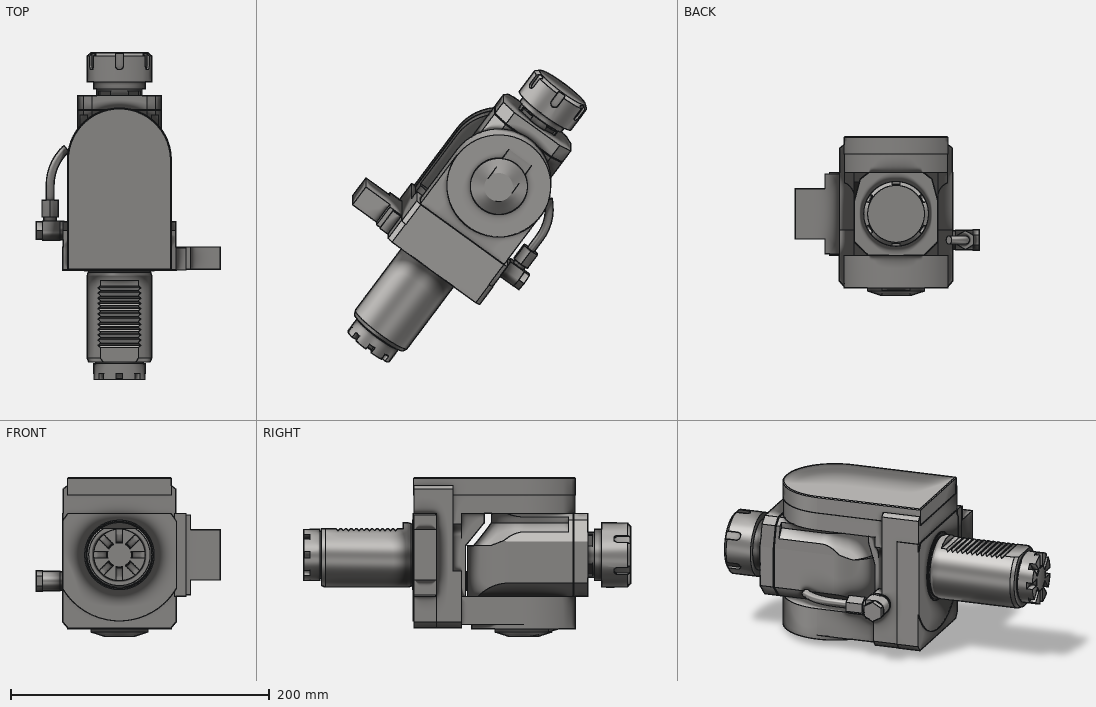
import cadquery as cq
import math


flange_half_width = 44.0
flange_top = 54.0
flange_bottom = -56.5
flange_corner = (3.8, 3.0)
flange_bottom_corner = (3.8, 4.5)
flange_back = 31.0
flange_relief = 0.38
front_block_back = 18.2
foot_back = 37.7
foot_top = -12.5
pad_radius = 51.1
pad_height = 0.8

arm_radius = 40.3
arm_end = 125.8
pivot_y = arm_end - arm_radius
jaw_half_height = 32.2
cap_bottom = 46.3
cap_top = 59.7
cap_front = 0.3
cap_overhang = 0.3
cap_chamfer = 0.8
lower_arm_bottom = -54.0
pivot_disc_bottom = -57.2
cover_diameter = 44.3
cover_rim_bottom = -59.7
cover_bottom = -63.3
cover_flat_diameter = 22.3
ramp_start = 113.5
ramp_end = 91.6
ramp_half_width = 11.0

slope_bottom = 7.0
slope_top = 24.8

web_low_y = 40.8
web_high_y = 46.0
web_far_y = 55.2
gusset_fillet_z = 13.2
gusset_fillet_radius = 11.6

head_half_width = 32.5
head_front = 135.5
head_round_y = 74.5
head_facet_top_x = 21.3
head_facet_bend = (27.8, 27.0)
head_facet_foot_z = 10.0
head_bottom_chamfer_x = 21.8
head_bottom_chamfer_z = -21.8
taper_base_radius = 38.7
taper_top_radius = 24.8
taper_front = 120.5
head_joint_y = 123.8
head_joint_width = 0.8
head_joint_depth = 0.38

shank_diameter = 50.0
shank_neck_diameter = 48.0
shank_neck_length = 1.5
ring_diameter = 52.0
ring_height = 0.5
outer_ring_diameter = 54.0
outer_ring_height = 0.3
shank_end = -71.0
shank_chamfer = 1.3
shank_chamfer_length = 3.0
shank_lead_diameter = 48.5
shank_lead_end = -4.0
rack_flat_z = 20.3
rack_start = -7.5
tooth_count = 12
tooth_pitch = 4.0
first_tooth_y = -13.5
tooth_depth = 1.5
tooth_gap_width = 3.0

rear_nut_diameter = 40.0
rear_nut_end = -84.5
rear_nut_start = -72.2
rear_core_diameter = 20.3
rear_core_chamfer = 0.8
rear_gap_diameter = 37.0
rear_slot_width = 5.0
rear_slot_depth = 4.8
rear_slot_count = 8
nut_diameter = 50.0
nut_end_diameter = 44.0
nut_back = 146.0
nut_rim = 166.0
nut_end = 168.5
nut_slot_count = 6
nut_slot_width = 6.3
nut_slot_depth = 2.3
nut_slot_end = 155.5
collar_diameter = 40.0
collar_back = 140.5
neck_diameter = 35.2
neck_notch_count = 4
neck_notch_width = 13.2
neck_notch_length = 3.5
neck_notch_radius = 14.5
first_notch_angle = 45

fitting_y = 31.0
fitting_z = -20.3
fitting_diameter = 15.2
fitting_collar_diameter = 14.5
fitting_collar_start = -46.0
fitting_hex_corners = 16.0
fitting_end = -64.5
fitting_hex_length = 5.0
hex_turn = 30
tube_x = -53.7
tube_diameter = 6.3
tube_collar_diameter = 9.9
tube_nut_flats = 12.7
tube_nut_start = 41.3
tube_nut_end = 54.5
tube_bend_start = 65.8
tube_bend_radius = 38.5
tube_bend_angle = 48

locator_depth = 18.2
locator_plate_depth = 17.5
locator_plate_front = 0.3
locator_plate_end = 51.6
locator_step_end = 55.2
locator_end = 78.2
locator_plate_half_height = 32.2
locator_step_half_height = 31.0
locator_half_height = 19.5

overlap = 1.3


def box(x0, x1, y0, y1, z0, z1):
    return cq.Workplane("XY").box(x1 - x0, y1 - y0, z1 - z0, centered=False).translate((x0, y0, z0))


def rod_y(diameter, y0, y1, x=0, z=0):
    """Round bar along Y."""
    disc = cq.Workplane("XZ", origin=(x, y0, z)).circle(diameter / 2)
    return disc.extrude(y0 - y1)


def prism_y(points, y0, y1):
    """Closed X-Z outline run along Y."""
    return cq.Workplane("XZ", origin=(0, y0, 0)).polyline(points).close().extrude(y0 - y1)


def prism_x(points, x0, x1):
    """Closed Y-Z outline run along X."""
    return cq.Workplane("YZ", origin=(x0, 0, 0)).polyline(points).close().extrude(x1 - x0)


def mirrored(points):
    """Mirror image of X-Z points across X = 0, in reverse order."""
    return [(-x, z) for x, z in reversed(points)]


def round_ended_slab(radius, centre_y, back_y, z0, z1):
    """Slab with a flat end at back_y and a half-round end beyond centre_y."""
    tip_y = centre_y + math.copysign(radius, centre_y - back_y)
    outline = (
        cq.Workplane("XY", origin=(0, 0, z0))
        .moveTo(-radius, back_y)
        .lineTo(-radius, centre_y)
        .threePointArc((0, tip_y), (radius, centre_y))
        .lineTo(radius, back_y)
        .close()
    )
    return outline.extrude(z1 - z0)


def revolve_z(profile, centre_y):
    """Closed radius-Z outline turned about the vertical axis through (0, centre_y)."""
    turned = cq.Workplane("XZ").polyline(profile).close().revolve(360, (0, 0, 0), (0, 1, 0))
    return turned.translate((0, centre_y, 0))


def flange_outline(w):
    dx, dz = flange_corner
    bx, bz = flange_bottom_corner
    right_outline = [
        (w - bx, flange_bottom), (w, flange_bottom + bz), (w, flange_top - dz), (w - dx, flange_top),
    ]
    return right_outline + mirrored(right_outline)


def make_flange():
    """Flange with a slightly wider front block, a raised round pad and a deeper foot."""
    w = flange_half_width
    relieved = flange_outline(w - flange_relief)
    flange = prism_y(relieved, pad_height, flange_back)
    foot = prism_y(relieved, pad_height, foot_back)
    foot = foot.intersect(box(-w, w, 0, foot_back, flange_bottom, foot_top))
    front_block = prism_y(flange_outline(w), pad_height, front_block_back)
    front_block = front_block.intersect(box(-w, w, 0, foot_back, flange_bottom, jaw_half_height))
    pad = rod_y(2 * pad_radius, 0, front_block_back)
    pad = pad.intersect(box(-w, w, 0, front_block_back, -pad_radius, jaw_half_height))
    cap_seat = box(-arm_radius, arm_radius, 0, flange_back, cap_bottom, cap_top)
    return flange.cut(cap_seat).union(foot).union(front_block).union(pad)


def make_fork():
    """Upper arm with its cap, and lower arm with the round pivot disc."""
    cap = round_ended_slab(arm_radius, pivot_y, cap_front, cap_bottom, cap_top)
    cap = cap.faces(">Z").edges().chamfer(cap_chamfer)
    inner_radius = arm_radius - cap_overhang
    upper_arm = round_ended_slab(inner_radius, pivot_y, front_block_back, jaw_half_height, cap_bottom)
    lower_arm = box(-arm_radius, arm_radius, flange_back, pivot_y, lower_arm_bottom, -jaw_half_height)
    disc = cq.Workplane("XY", origin=(0, pivot_y, pivot_disc_bottom)).circle(arm_radius)
    disc = disc.extrude(-jaw_half_height - pivot_disc_bottom)
    return cap.union(upper_arm).union(lower_arm.union(disc))


def make_cover():
    """Domed cover under the lower arm, with a ramp running out of its front."""
    r = cover_diameter / 2
    flat = cover_flat_diameter / 2
    root_z = pivot_disc_bottom + overlap
    profile = [(0, root_z), (r, root_z), (r, cover_rim_bottom), (flat, cover_bottom), (0, cover_bottom)]
    cover = revolve_z(profile, pivot_y)
    ramp_outline = [
        (ramp_start, root_z), (ramp_start, pivot_disc_bottom), (ramp_end, cover_bottom),
        (pivot_y, cover_bottom), (pivot_y, root_z),
    ]
    return cover.union(prism_x(ramp_outline, -ramp_half_width, ramp_half_width))


def web_outline(high_y):
    h = jaw_half_height
    back = flange_back - overlap
    return [
        (back, -h), (web_low_y, -h), (web_low_y, slope_bottom),
        (high_y, slope_top), (high_y, h), (back, h),
    ]


def make_web():
    """Web behind the head; its upper part leans forward towards +X."""
    w = head_half_width
    web = prism_x(web_outline(web_high_y), -w, overlap)
    leaning = (
        cq.Workplane("YZ")
        .polyline(web_outline(web_high_y))
        .close()
        .workplane(offset=w)
        .polyline(web_outline(web_far_y))
        .close()
        .loft(ruled=True)
    )
    return web.union(leaning)


def make_gussets():
    """Filleted gussets joining the upper arm to the sides of the web."""
    inner = head_half_width - overlap
    outer = arm_radius - cap_overhang
    gusset = box(inner, outer, flange_back - overlap, foot_back, gusset_fillet_z, cap_bottom)
    centre_x = head_half_width + gusset_fillet_radius
    gusset = gusset.cut(rod_y(2 * gusset_fillet_radius, 0, foot_back, centre_x, gusset_fillet_z))
    return gusset.union(gusset.mirror("YZ"))


def make_head():
    """Spindle head: faceted prism with a round rear and a tapered upper part."""
    w = head_half_width
    h = jaw_half_height
    right_outline = [
        (head_facet_top_x, h), head_facet_bend, (w, head_facet_foot_z),
        (w, head_bottom_chamfer_z), (head_bottom_chamfer_x, -h),
    ]
    outline = right_outline + mirrored(right_outline)
    rear = head_round_y - w
    head = prism_y(outline, rear, head_front)
    head = head.intersect(round_ended_slab(w, head_round_y, head_front, -h, h))

    base, top = taper_base_radius, taper_top_radius
    half_taper = [(base, -h), (base, slope_bottom), (top, slope_top), (top, h)]
    full_taper = half_taper + mirrored(half_taper)
    envelope = revolve_z([(0, -h)] + half_taper + [(0, h)], pivot_y)
    envelope = envelope.union(prism_y(full_taper, pivot_y, taper_front))
    envelope = envelope.union(box(-base, base, rear, pivot_y, -h, slope_bottom))
    envelope = envelope.union(box(-base, base, taper_front, head_front, -h, h))
    head = head.intersect(envelope)

    joint_end = head_joint_y + head_joint_width
    core = cq.Workplane("XZ", origin=(0, head_joint_y, 0)).polyline(outline).close()
    core = core.offset2D(-head_joint_depth, "intersection").extrude(-head_joint_width)
    joint = box(-base, base, head_joint_y, joint_end, -h - overlap, h + overlap).cut(core)
    return head.cut(joint)


def make_shank():
    """Round shank with a toothed flat on top and seating rings at the flange."""
    r = shank_diameter / 2
    tip_r = r - shank_chamfer
    profile = [
        (0, -shank_neck_length), (shank_lead_diameter / 2, -shank_neck_length), (r, shank_lead_end),
        (r, shank_end + shank_chamfer_length), (tip_r, shank_end), (0, shank_end),
    ]
    shank = cq.Workplane("XY").polyline(profile).close().revolve(360, (0, 0, 0), (0, 1, 0))
    shank = shank.cut(box(-r, r, shank_end, rack_start, rack_flat_z, r + overlap))
    root = rack_flat_z - tooth_depth
    half = tooth_gap_width / 2
    for i in range(tooth_count):
        y = first_tooth_y - i * tooth_pitch
        gap = [
            (y - half, rack_flat_z + overlap), (y - half, rack_flat_z), (y, root),
            (y + half, rack_flat_z), (y + half, rack_flat_z + overlap),
        ]
        shank = shank.cut(prism_x(gap, -r, r))
    neck = rod_y(shank_neck_diameter, -shank_neck_length - overlap, overlap)
    ring = rod_y(ring_diameter, -ring_height, overlap)
    outer_ring = rod_y(outer_ring_diameter, -outer_ring_height, overlap)
    return shank.union(neck).union(ring).union(outer_ring)


def make_rear_nut():
    """Slotted nut at the shank tip with a round core."""
    r = rear_nut_diameter / 2
    nut = rod_y(rear_nut_diameter, rear_nut_end, rear_nut_start)
    half = rear_slot_width / 2
    for i in range(rear_slot_count):
        slot = box(0, r + overlap, rear_nut_end, rear_nut_end + rear_slot_depth, -half, half)
        nut = nut.cut(slot.rotate((0, 0, 0), (0, 1, 0), i * 360 / rear_slot_count))
    core = rod_y(rear_core_diameter, rear_nut_end, rear_nut_start)
    core = core.faces("<Y").chamfer(rear_core_chamfer)
    gap = rod_y(rear_gap_diameter, rear_nut_start - overlap, shank_end + overlap)
    return nut.union(core).union(gap)


def make_collet_nut():
    """Clamping nut, collar and notched neck in front of the head."""
    r = nut_diameter / 2
    profile = [
        (0, nut_back), (r, nut_back), (r, nut_rim),
        (nut_end_diameter / 2, nut_end), (0, nut_end),
    ]
    nut = cq.Workplane("XY").polyline(profile).close().revolve(360, (0, 0, 0), (0, 1, 0))
    floor = r - nut_slot_depth
    end_y = nut_slot_end + nut_slot_width / 2
    for i in range(nut_slot_count):
        slot = box(-nut_slot_width / 2, nut_slot_width / 2, end_y, nut_end + overlap, floor, r + overlap)
        rounding = cq.Workplane("XY", origin=(0, end_y, floor)).circle(nut_slot_width / 2)
        slot = slot.union(rounding.extrude(nut_slot_depth + overlap))
        nut = nut.cut(slot.rotate((0, 0, 0), (0, 1, 0), i * 360 / nut_slot_count))
    collar = rod_y(collar_diameter, collar_back, nut_back + overlap)
    neck = rod_y(neck_diameter, head_front - overlap, collar_back + overlap)
    half = neck_notch_width / 2
    notch_end = head_front + neck_notch_length
    for i in range(neck_notch_count):
        notch = box(neck_notch_radius, neck_diameter, head_front, notch_end, -half, half)
        angle = first_notch_angle + i * 360 / neck_notch_count
        neck = neck.cut(notch.rotate((0, 0, 0), (0, 1, 0), angle))
    return neck.union(collar).union(nut)


def make_coolant_line():
    """Side fitting with a tube nut and a bent tube."""
    body_start = fitting_end + fitting_hex_length
    body_length = fitting_collar_start - body_start
    r = fitting_diameter / 2
    hexagon = cq.Workplane("YZ", origin=(fitting_end, fitting_y, fitting_z))
    hexagon = hexagon.transformed(rotate=(0, 0, hex_turn)).polygon(6, fitting_hex_corners)
    hexagon = hexagon.extrude(fitting_hex_length)
    body = cq.Workplane("YZ", origin=(body_start, fitting_y, fitting_z)).circle(r).extrude(body_length)
    tube_face = box(
        body_start, fitting_collar_start, fitting_y, fitting_y + r, fitting_z - r, fitting_z + r
    )
    mount = cq.Workplane("YZ", origin=(body_start, fitting_y, fitting_z))
    mount = mount.circle(fitting_collar_diameter / 2).extrude(-flange_half_width + overlap - body_start)
    fitting = hexagon.union(mount).union(body).union(tube_face)
    collar = rod_y(tube_collar_diameter, fitting_y, tube_nut_start + overlap, tube_x, fitting_z)
    corners = tube_nut_flats / math.cos(math.pi / 6)
    nut = cq.Workplane("XZ", origin=(tube_x, tube_nut_start, fitting_z)).polygon(6, corners)
    nut = nut.extrude(tube_nut_start - tube_nut_end)
    nut = nut.rotate((tube_x, 0, fitting_z), (tube_x, 1, fitting_z), hex_turn)
    straight = rod_y(tube_diameter, tube_nut_end - overlap, tube_bend_start, tube_x, fitting_z)
    bend = cq.Workplane("XZ", origin=(tube_x, tube_bend_start, fitting_z)).circle(tube_diameter / 2)
    bend = bend.revolve(tube_bend_angle, (tube_bend_radius, 0, 0), (tube_bend_radius, -1, 0))
    return fitting.union(collar).union(nut).union(straight).union(bend)


def make_locator():
    """Stepped locating block on the +X side of the flange."""
    steps = (
        (locator_plate_end, locator_plate_front, locator_plate_depth, locator_plate_half_height),
        (locator_step_end, pad_height, locator_depth, locator_step_half_height),
        (locator_end, pad_height, locator_depth, locator_half_height),
    )
    inner = flange_half_width - overlap
    locator = None
    for end_x, front, depth, half_height in steps:
        step = box(inner, end_x, front, depth, -half_height, half_height)
        locator = step if locator is None else locator.union(step)
    return locator


result = make_flange().union(make_fork()).union(make_cover())
result = result.union(make_web()).union(make_gussets()).union(make_head())
result = result.union(make_shank()).union(make_rear_nut()).union(make_collet_nut())
result = result.union(make_coolant_line()).union(make_locator())